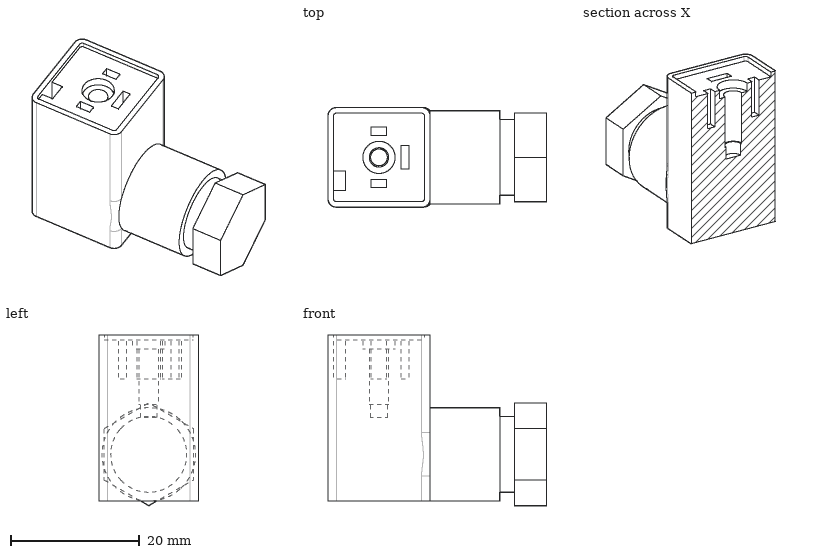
import cadquery as cq
import math


total_length = 33.92
total_height = 26.48

hex_across_corners = 15.95
hex_length = 5.0
neck_diameter = 11.8
neck_length = 2.25

barrel_diameter = 14.5
barrel_radius = barrel_diameter / 2
barrel_axis_z = barrel_radius
hex_overhang = hex_across_corners / 2 - barrel_axis_z

block_length = 15.85
block_width = 15.48
block_height = total_height - hex_overhang
corner_radius = 1.33

corner_center_y = block_width / 2 - corner_radius
blend_half_height = math.sqrt(barrel_radius**2 - corner_center_y**2)
blend_root = 1.0
blend_steps = 8

block_back_x = -block_length / 2
block_end_x = block_length / 2
hex_start_x = block_back_x + total_length - hex_length
barrel_end_x = hex_start_x - neck_length

wall = 0.87
recess_depth = 0.8
recess_floor_z = block_height - recess_depth

counterbore_diameter = 5.0
counterbore_depth = 1.4
hole_diameter = 3.0
hole_depth = 10.0
hole_tip_diameter = 2.6
hole_tip_depth = 2.0

contact_offset = 4.05
slot_depth = 6.0
slot_thickness = 1.25
signal_slot_length = 2.4
earth_slot_length = 3.65

notch_length = 1.85
notch_width = 3.0
notch_y = -3.6


def block():
    """Rectangular block with rounded vertical corners."""
    return (
        cq.Workplane("XY")
        .rect(block_length, block_width)
        .extrude(block_height)
        .edges("|Z")
        .fillet(corner_radius)
    )


def barrel():
    """Cylindrical cable outlet on the block's end face, rooted one wall thickness inside it."""
    return (
        cq.Workplane("YZ", origin=(block_end_x - wall, 0, barrel_axis_z))
        .circle(barrel_radius)
        .extrude(barrel_end_x - block_end_x + wall)
    )


def corner_seat():
    """Length of the +Y corner rounding that the corner blend replaces."""
    return (
        cq.Workplane("XY", origin=(block_end_x, block_width / 2, barrel_axis_z))
        .box(2 * corner_radius, 2 * corner_radius, 2 * blend_half_height)
    )


def corner_blend():
    """Corner rounding that slides outward beside the barrel.

    The barrel is wider than the flat of the end face. Beside it the rounding keeps its radius
    but follows a ball that rolls along the side face and the rim of the barrel.
    """
    ball_path_points = []
    for step in range(blend_steps + 1):
        height = blend_half_height * (2 * step / blend_steps - 1)
        rim_rise = barrel_radius - math.hypot(corner_center_y, height)
        setback = math.sqrt(corner_radius**2 - rim_rise**2)
        ball_path_points.append((block_end_x - setback, barrel_axis_z + height))
    ball_path = cq.Workplane("XZ", origin=(0, corner_center_y, 0)).spline(
        ball_path_points, tangents=[(0, 1), (0, 1)]
    )
    start_x, start_z = ball_path_points[0]
    diagonal = corner_radius * math.sqrt(0.5)
    return (
        cq.Workplane("XY", origin=(start_x, corner_center_y, start_z))
        .moveTo(-blend_root, 0)
        .lineTo(corner_radius, 0)
        .threePointArc((diagonal, diagonal), (0, corner_radius))
        .lineTo(-blend_root, corner_radius)
        .close()
        .sweep(ball_path)
    )


def contact_recess():
    """Shallow pocket that leaves a rim of even thickness around the contact face."""
    return (
        cq.Workplane("XY", origin=(0, 0, recess_floor_z))
        .rect(block_length - 2 * wall, block_width - 2 * wall)
        .extrude(recess_depth)
        .edges("|Z")
        .fillet(corner_radius - wall)
    )


def screw_hole():
    """Blind counterbored hole with a narrower tip."""
    face = cq.Workplane("XY", origin=(0, 0, recess_floor_z))
    counterbore = face.circle(counterbore_diameter / 2).extrude(-counterbore_depth)
    shank = face.circle(hole_diameter / 2).extrude(-hole_depth)
    tip = face.circle(hole_tip_diameter / 2).extrude(-hole_depth - hole_tip_depth)
    return counterbore.union(shank).union(tip)


def slot(x, y, length, width):
    """Blind rectangular slot sunk into the contact face."""
    return (
        cq.Workplane("XY", origin=(x, y, recess_floor_z))
        .rect(length, width)
        .extrude(-slot_depth)
    )


def make_housing():
    seat = corner_seat()
    blend = corner_blend()
    body = block().cut(seat).cut(seat.mirror("XZ"))
    body = body.union(blend).union(blend.mirror("XZ")).union(barrel())
    body = body.cut(contact_recess()).cut(screw_hole())
    for side in (-1, 1):
        body = body.cut(slot(0, side * contact_offset, signal_slot_length, slot_thickness))
    body = body.cut(slot(contact_offset, 0, slot_thickness, earth_slot_length))
    notch_x = block_back_x + wall + notch_length / 2
    return body.cut(slot(notch_x, notch_y, notch_length, notch_width))


def make_gland_screw():
    """Round neck that butts against the barrel, and a hexagonal head with corners up and down."""
    neck = (
        cq.Workplane("YZ", origin=(barrel_end_x, 0, barrel_axis_z))
        .circle(neck_diameter / 2)
        .extrude(neck_length)
    )
    head = (
        cq.Workplane("YZ", origin=(hex_start_x, 0, barrel_axis_z))
        .transformed(rotate=(0, 0, 90))
        .polygon(6, hex_across_corners)
        .extrude(hex_length)
    )
    return neck.union(head)


housing = make_housing()
gland_screw = make_gland_screw()

result = cq.Compound.makeCompound([housing.val(), gland_screw.val()])